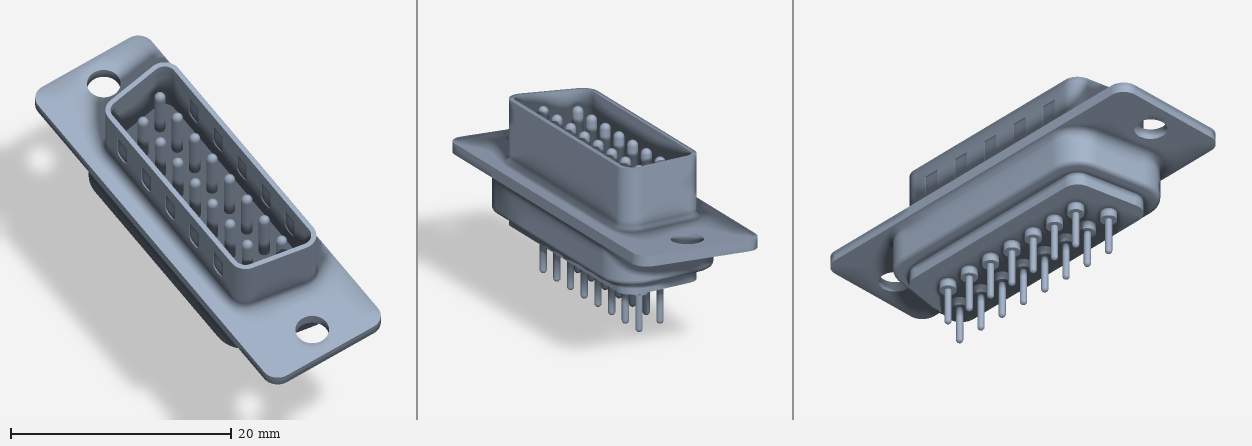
import cadquery as cq
import math

shell_top = 5.85
flange_thickness = 1.05
rear_shell_bottom = -4.8
insulator_bottom = -6.15
collar_bottom = -6.95
tail_end = -10.68
floor_height = 0.0
pin_top = 5.25

flange_length = 39.12
flange_width = 12.55
flange_corner_radius = 1.5
mount_hole_diameter = 3.05
mount_hole_spacing = 33.33

shell_length = 24.65
shell_width = 8.37
shell_corner_radius = 1.53
side_angle = 10.0
shell_wall = 0.45
rear_shell_offset = 1.53
edge_fillet = 0.45

dimple_count = 5
dimple_spacing = 3.85
dimple_width = 1.55
dimple_top = 4.4
dimple_bottom = 1.75
dimple_corner_radius = 0.63
dimple_depth = 0.1

upper_row_count = 8
lower_row_count = 7
pin_pitch = 2.78
row_spacing = 2.8
pin_radius = 0.5
collar_radius = 0.8
tail_radius = 0.333


def d_prism(offset, bottom, top):
    """D-shaped prism whose outline lies `offset` outside the shell's outer face."""
    radius = shell_corner_radius + offset
    half_width = shell_width / 2 + offset
    slope = math.tan(math.radians(side_angle))
    centre_x = shell_length / 2 - shell_corner_radius
    centre_y = shell_width / 2 - shell_corner_radius
    side_x = centre_x + radius / math.cos(math.radians(side_angle))
    wide_x = side_x + (half_width - centre_y) * slope
    narrow_x = side_x - (half_width + centre_y) * slope
    corners = [
        (-wide_x, half_width),
        (wide_x, half_width),
        (narrow_x, -half_width),
        (-narrow_x, -half_width),
    ]
    return (
        cq.Workplane("XY")
        .workplane(offset=bottom)
        .polyline(corners)
        .close()
        .extrude(top - bottom)
        .edges("|Z")
        .fillet(radius)
    )


def make_flange():
    return (
        cq.Workplane("XY")
        .box(flange_length, flange_width, flange_thickness, centered=(True, True, False))
        .translate((0, 0, -flange_thickness))
        .edges("|Z")
        .fillet(flange_corner_radius)
        .faces(">Z")
        .workplane()
        .pushPoints([(-mount_hole_spacing / 2, 0), (mount_hole_spacing / 2, 0)])
        .hole(mount_hole_diameter)
    )


def make_housing():
    """Flange, front shell and rear shell, blended where the shells meet the flange."""
    front_shell = d_prism(0, -flange_thickness, shell_top)
    rear_shell = d_prism(rear_shell_offset, rear_shell_bottom, -flange_thickness)
    rear_shell = rear_shell.faces("<Z").edges().fillet(edge_fillet)
    housing = make_flange().union(front_shell).union(rear_shell)

    reach_x = shell_length / 2 + rear_shell_offset + edge_fillet
    reach_y = shell_width / 2 + rear_shell_offset + edge_fillet
    margin = 0.05
    blend_zone = cq.selectors.BoxSelector(
        (-reach_x, -reach_y, -flange_thickness - margin),
        (reach_x, reach_y, margin),
        boundingbox=True,
    )
    housing = housing.edges(blend_zone).fillet(edge_fillet)

    housing = housing.cut(d_prism(-shell_wall, floor_height, shell_top))
    return housing.union(d_prism(0, insulator_bottom, rear_shell_bottom))


def make_dimples(face_y):
    """Row of dimples sunk into the wall face at Y = face_y, towards +Y."""
    height = dimple_top - dimple_bottom
    dimple = (
        cq.Workplane("XY")
        .box(dimple_width, 2 * dimple_depth, height)
        .edges("|Y and <Z")
        .fillet(dimple_corner_radius)
    )
    dimples = cq.Workplane("XY")
    for i in range(dimple_count):
        x = (i - (dimple_count - 1) / 2) * dimple_spacing
        dimples = dimples.add(dimple.translate((x, face_y, dimple_bottom + height / 2)))
    return dimples.combine()


def make_contact():
    """Contact pin with domed ends and a collar, turned about the Z axis."""
    diagonal = math.sqrt(0.5)
    pin_dome_base = pin_top - pin_radius
    tail_dome_base = tail_end + tail_radius
    return (
        cq.Workplane("XZ")
        .moveTo(0, tail_end)
        .threePointArc(
            (tail_radius * diagonal, tail_dome_base - tail_radius * diagonal),
            (tail_radius, tail_dome_base),
        )
        .lineTo(tail_radius, collar_bottom)
        .lineTo(collar_radius, collar_bottom)
        .lineTo(collar_radius, insulator_bottom)
        .lineTo(pin_radius, insulator_bottom)
        .lineTo(pin_radius, pin_dome_base)
        .threePointArc(
            (pin_radius * diagonal, pin_dome_base + pin_radius * diagonal),
            (0, pin_top),
        )
        .close()
        .revolve(360, (0, 0, 0), (0, 1, 0))
    )


result = make_housing()

outer_face_y = shell_width / 2
for face in (-outer_face_y, outer_face_y - shell_wall):
    result = result.cut(make_dimples(face))

contact = make_contact()
for count, row_y in ((upper_row_count, row_spacing / 2), (lower_row_count, -row_spacing / 2)):
    for i in range(count):
        pin_x = (i - (count - 1) / 2) * pin_pitch
        result = result.union(contact.translate((pin_x, row_y, 0)))